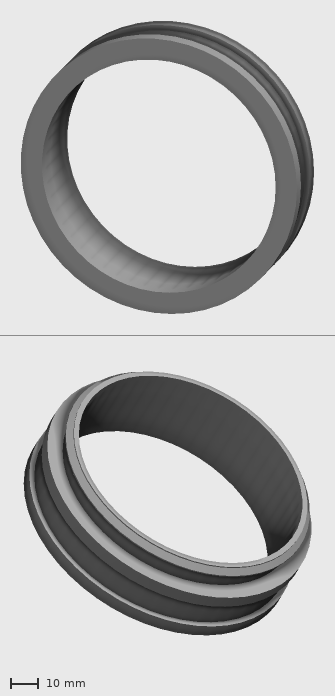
import cadquery as cq

flange_radius = 52.0
groove_radius = 50.0
neck_radius = 46.0
lip_radius = 48.0
bore_radius = 44.0

total_length = 31.0
flange_width = 5.0
groove_width = 11.0
lip_width = 3.0
lip_rim_width = 0.5
lip_end_width = 0.5

front_y = -total_length / 2
back_y = front_y + total_length
groove_start_y = front_y + flange_width
groove_end_y = groove_start_y + groove_width
neck_start_y = groove_end_y + flange_width
lip_start_y = back_y - lip_width
lip_taper_start_y = lip_start_y + lip_rim_width
lip_taper_end_y = back_y - lip_end_width

section = (
    cq.Workplane("XY")
    .moveTo(bore_radius, front_y)
    .lineTo(flange_radius, front_y)
    .lineTo(flange_radius, groove_start_y)
    .lineTo(groove_radius, groove_start_y)
    .lineTo(groove_radius, groove_end_y)
    .lineTo(flange_radius, groove_end_y)
    .lineTo(flange_radius, neck_start_y)
    .lineTo(neck_radius, neck_start_y)
    .lineTo(neck_radius, lip_start_y)
    .lineTo(lip_radius, lip_start_y)
    .lineTo(lip_radius, lip_taper_start_y)
    .lineTo(neck_radius, lip_taper_end_y)
    .lineTo(neck_radius, back_y)
    .lineTo(bore_radius, back_y)
    .close()
)

result = section.revolve(360, (0, 0, 0), (0, 1, 0))